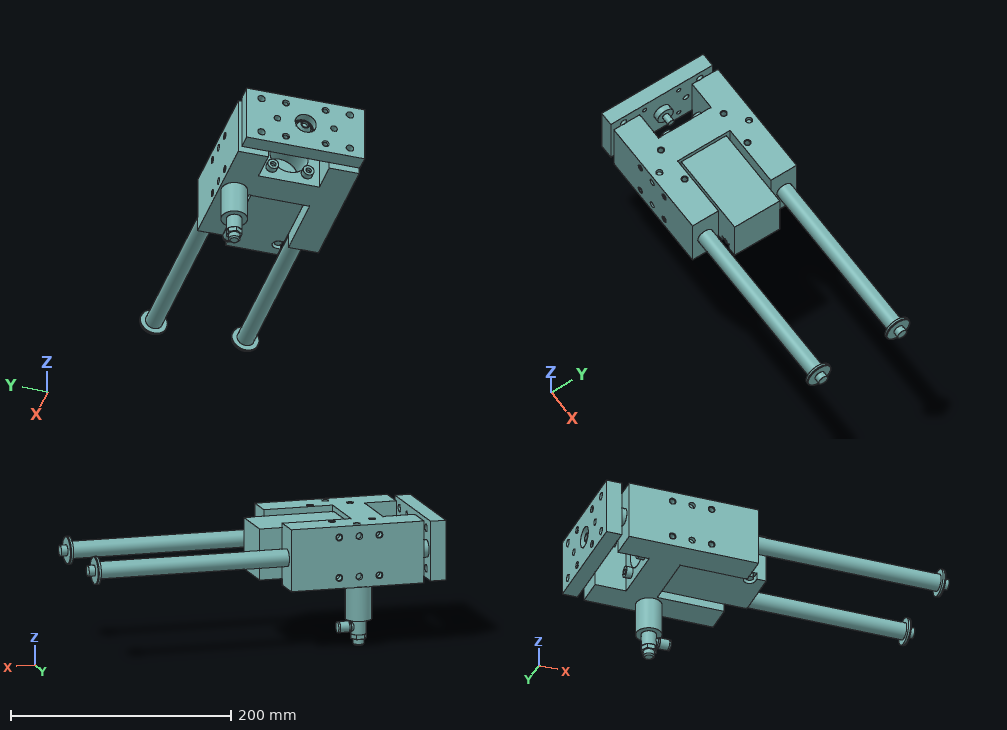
import cadquery as cq
import math


total_length = 336.0
guide_spacing = 87.0
guide_y = guide_spacing / 2
hole_rows_z = 18.8
thread_mouth = 6.5
drill_point_angle = 118.0
dowel_diameter = 6.0

plate_thickness = 14.8
plate_width = 112.2
plate_height = 55.8
corner_hole_y = 42.0
corner_hole_diameter = 6.7
plate_thread_y = 18.8
plate_thread_drill = 4.5
plate_dowel_y = 27.0

coupling_recess_diameter = 19.8
coupling_recess_depth = 8.5
coupling_collar_diameter = 17.0
coupling_collar_front = 7.5
coupling_collar_back = 21.0
coupling_stud_diameter = 6.7
coupling_stud_end = 30.0
coupling_head_base_diameter = 14.0
coupling_head_top_diameter = 8.0
coupling_head_front = 1.7
coupling_socket_diameter = 6.0
coupling_socket_depth = 2.7

rod_diameter = 16.0
disc_diameter = 26.0
disc_thickness = 2.0
rear_disc_diameter = 25.2
rear_disc_thickness = 1.0
rod_stub_diameter = 10.0
rod_stub_length = 6.0
rod_end = total_length - rod_stub_length

housing_start = 21.5
housing_length = 125.5
housing_end = housing_start + housing_length
housing_width = 115.0
housing_height = 57.8
arm_width = 28.5
web_start = 51.7
web_thickness = 30.2
web_end = web_start + web_thickness
web_bore = 36.3
hole_pitch = 38.0
housing_thread_drill = 5.0
housing_thread_depth = 8.0
dowel_depth = 4.0
hole_middle_x = 82.5
top_thread_y = 34.5
top_dowel_y = 49.5

block_end = 167.3
block_width = 49.7
block_height = 47.7
screw_head_diameter = 10.5
screw_head_height = 6.0
screw_spacing = 33.5
screw_socket_diameter = 5.0
screw_socket_depth = 3.5

inlet_x = 152.5
inlet_y = -21.0
inlet_pocket_width = 11.0
inlet_roof = -17.5
inlet_stud_diameter = 7.0
inlet_stud_bottom = -22.0

clamp_x = 79.3
clamp_diameter = 24.2
clamp_bottom = -61.0
neck_diameter = 14.0
nut_top = -75.0
nut_bottom = -79.3
nut_corner_diameter = 14.8
clamp_tip_diameter = 10.5
clamp_tip_chamfer = 1.5
clamp_tip_bottom = -85.5
port_z = -68.0
port_flange_diameter = 9.0
port_flange_end = 87.0
port_neck_diameter = 8.0
port_diameter = 10.5
port_start = 88.7
port_end = 97.8
release_ring_diameter = 10.0
release_ring_end = 99.5


def rod_along_x(diameter, start, end, y=0.0, z=0.0):
    """Cylinder parallel to X between two X positions."""
    return cq.Workplane("YZ", origin=(start, y, z)).circle(diameter / 2).extrude(end - start)


def rod_along_z(diameter, bottom, top, x, y):
    """Cylinder parallel to Z between two heights."""
    return cq.Workplane("XY", origin=(x, y, bottom)).circle(diameter / 2).extrude(top - bottom)


def box_between(x_start, x_end, width, height, y=0.0):
    """Box between two X positions, centred on Z = 0."""
    return cq.Workplane("YZ", origin=(x_start, y, 0)).rect(width, height).extrude(x_end - x_start)


def plain_hole(diameter, depth):
    """Tool for one plain hole sunk from the origin along -Z."""
    return cq.Workplane("XY").circle(diameter / 2).extrude(-depth).val()


def threaded_hole(drill_diameter, depth, point_length=0.0):
    """Tool for one threaded hole sunk from the origin along -Z: chamfered mouth, core and drill point."""
    core = drill_diameter / 2
    mouth = thread_mouth / 2
    profile = [(0, 0), (mouth, 0), (core, core - mouth), (core, -depth), (0, -depth - point_length)]
    return cq.Workplane("XZ").polyline(profile).close().revolve(360, (0, 0), (0, 1)).val()


def drill(body, face, points, tool):
    """Cut a copy of a hole tool into a face at each point."""
    tools = face.pushPoints(points).eachpoint(lambda place: tool.moved(place), useLocalCoordinates=True)
    return body.cut(tools)


def make_carriage():
    """Tool plate with its coupling and the two guide rods."""
    plate = drill_plate(box_between(0, plate_thickness, plate_width, plate_height))
    carriage = add_coupling(plate)

    disc_start = rod_end - rear_disc_thickness - disc_thickness
    rear_disc_start = rod_end - rear_disc_thickness
    for y in (-guide_y, guide_y):
        carriage = carriage.union(rod_along_x(rod_diameter, plate_thickness, rod_end, y))
        carriage = carriage.union(rod_along_x(disc_diameter, disc_start, rear_disc_start, y))
        carriage = carriage.union(rod_along_x(rear_disc_diameter, rear_disc_start, rod_end, y))
        carriage = carriage.union(rod_along_x(rod_stub_diameter, rod_end, total_length, y))
    return carriage


def drill_plate(plate):
    """Through holes of the tool plate, sunk from its front face."""
    front_face = cq.Workplane("ZY")
    corners = [(z, y) for z in (-hole_rows_z, hole_rows_z) for y in (-corner_hole_y, corner_hole_y)]
    threads = [(z, y) for z in (-hole_rows_z, hole_rows_z) for y in (-plate_thread_y, plate_thread_y)]
    dowels = [(0, -plate_dowel_y), (0, plate_dowel_y)]
    plate = drill(plate, front_face, corners, plain_hole(corner_hole_diameter, plate_thickness))
    plate = drill(plate, front_face, threads, threaded_hole(plate_thread_drill, plate_thickness))
    return drill(plate, front_face, dowels, plain_hole(dowel_diameter, plate_thickness))


def add_coupling(plate):
    """Recess with a conical socket head in front of the plate, collar and stud behind it."""
    plate = plate.cut(rod_along_x(coupling_recess_diameter, 0, coupling_recess_depth))
    profile = [
        (coupling_head_front, 0),
        (coupling_head_front, coupling_head_top_diameter / 2),
        (coupling_collar_front, coupling_head_base_diameter / 2),
        (coupling_collar_front, coupling_collar_diameter / 2),
        (coupling_collar_back, coupling_collar_diameter / 2),
        (coupling_collar_back, coupling_stud_diameter / 2),
        (coupling_stud_end, coupling_stud_diameter / 2),
        (coupling_stud_end, 0),
    ]
    coupling = cq.Workplane("XY").polyline(profile).close().revolve(360, (0, 0), (1, 0))
    socket_end = coupling_head_front + coupling_socket_depth
    coupling = coupling.cut(rod_along_x(coupling_socket_diameter, coupling_head_front, socket_end))
    return plate.union(coupling)


def make_housing():
    """H-shaped housing with its drive block and the rod clamp."""
    arm_y = (housing_width - arm_width) / 2
    housing = box_between(web_start, web_end, housing_width - arm_width, housing_height)
    for y in (-arm_y, arm_y):
        housing = housing.union(box_between(housing_start, housing_end, arm_width, housing_height, y))
    for y in (-guide_y, guide_y):
        housing = housing.cut(rod_along_x(rod_diameter, housing_start, housing_end, y))
    housing = housing.cut(rod_along_x(web_bore, web_start, web_end))
    housing = drill_housing(housing)
    return housing.union(make_block()).union(make_block_screws()).union(make_clamp())


def drill_housing(housing):
    """Threaded and dowel holes in the top and in both sides of the housing."""
    point_length = housing_thread_drill / 2 / math.tan(math.radians(drill_point_angle / 2))
    thread = threaded_hole(housing_thread_drill, housing_thread_depth, point_length)
    dowel = plain_hole(dowel_diameter, dowel_depth)
    thread_xs = (hole_middle_x - hole_pitch / 2, hole_middle_x + hole_pitch / 2)

    top_face = cq.Workplane("XY", origin=(0, 0, housing_height / 2))
    top_threads = [(x, y) for x in thread_xs for y in (-top_thread_y, top_thread_y)]
    top_dowels = [(hole_middle_x, -top_dowel_y), (hole_middle_x, top_dowel_y)]
    housing = drill(housing, top_face, top_threads, thread)
    housing = drill(housing, top_face, top_dowels, dowel)

    near_side = cq.Workplane("XZ", origin=(0, -housing_width / 2, 0))
    far_side = near_side.transformed(rotate=(180, 0, 0), offset=(0, 0, -housing_width))
    side_threads = [(x, z) for x in thread_xs for z in (-hole_rows_z, hole_rows_z)]
    side_dowels = [(hole_middle_x, -hole_rows_z), (hole_middle_x, hole_rows_z)]
    for face in (near_side, far_side):
        housing = drill(housing, face, side_threads, thread)
        housing = drill(housing, face, side_dowels, dowel)
    return housing


def make_block():
    """Drive block behind the web, with a round-ended pocket holding the inlet stud."""
    block = box_between(web_end, block_end, block_width, block_height)
    block_bottom = -block_height / 2
    pocket = rod_along_z(inlet_pocket_width, block_bottom, inlet_roof, inlet_x, inlet_y)
    opening = cq.Workplane("XY", origin=(inlet_x, inlet_y, block_bottom))
    opening = opening.rect(inlet_pocket_width, block_width).extrude(inlet_roof - block_bottom)
    opening = opening.translate((0, -block_width / 2, 0))
    stud = rod_along_z(inlet_stud_diameter, inlet_stud_bottom, inlet_roof, inlet_x, inlet_y)
    return block.cut(pocket).cut(opening).union(stud)


def make_block_screws():
    """Four socket heads on the front of the web."""
    heads = cq.Workplane("YZ", origin=(web_start - screw_head_height, 0, 0))
    heads = heads.rarray(screw_spacing, screw_spacing, 2, 2)
    sockets = heads.circle(screw_socket_diameter / 2).extrude(screw_socket_depth)
    return heads.circle(screw_head_diameter / 2).extrude(screw_head_height).cut(sockets)


def make_clamp():
    """Stepped clamp cylinder under the +Y arm, with a hexagon nut and a side port."""
    clamp = rod_along_z(clamp_diameter, clamp_bottom, -housing_height / 2, clamp_x, guide_y)
    clamp = clamp.union(rod_along_z(neck_diameter, nut_top, clamp_bottom, clamp_x, guide_y))
    nut = cq.Workplane("XY", origin=(clamp_x, guide_y, nut_bottom))
    clamp = clamp.union(nut.polygon(6, nut_corner_diameter).extrude(nut_top - nut_bottom))
    tip = rod_along_z(clamp_tip_diameter, clamp_tip_bottom, nut_bottom, clamp_x, guide_y)
    clamp = clamp.union(tip.faces("<Z").chamfer(clamp_tip_chamfer))
    return clamp.union(make_port())


def make_port():
    """Side port pointing along +X: flange on the clamp neck, port neck, body and release ring."""
    port = rod_along_x(port_flange_diameter, clamp_x, port_flange_end, guide_y, port_z)
    port = port.union(rod_along_x(port_neck_diameter, port_flange_end, port_start, guide_y, port_z))
    port = port.union(rod_along_x(port_diameter, port_start, port_end, guide_y, port_z))
    return port.union(rod_along_x(release_ring_diameter, port_end, release_ring_end, guide_y, port_z))


carriage = make_carriage()
housing = make_housing()
result = cq.Compound.makeCompound([*carriage.solids().vals(), *housing.solids().vals()])